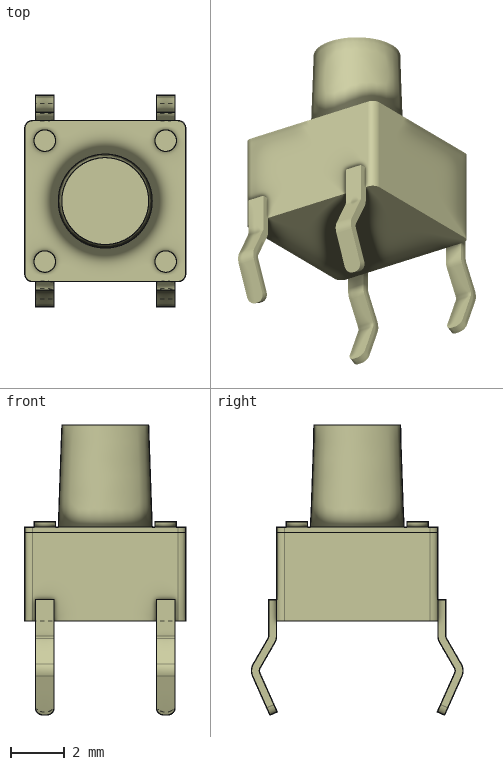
import cadquery as cq
import math

body_side = 6.0
body_height = 3.5
corner_radius = 0.3
cover_thickness = 0.2
base_height = body_height - cover_thickness

stem_base_diameter = 3.5
stem_height = 3.8
stem_draft = 2.0
rivet_diameter = 0.8
rivet_height = 0.2
corner_pitch = 4.5

pin_width = 0.7
pin_thickness = 0.3
pin_top_z = 0.8
pin_bottom_z = -3.5
bend_start_z = -0.55
bend_inside_radius = 0.2
bend_outside_radius = bend_inside_radius + pin_thickness
outward_angle = math.radians(30)
inward_angle = math.radians(24)
pin_span = 7.88
tip_radius = 0.3


def make_plate(bottom_z, height):
    """Square slab with rounded upright corners."""
    return (
        cq.Workplane("XY", origin=(0, 0, bottom_z))
        .rect(body_side, body_side)
        .extrude(height)
        .edges("|Z")
        .fillet(corner_radius)
    )


def make_cover():
    """Cover plate carrying the tapered stem and the four rivet heads."""
    plate = make_plate(base_height, cover_thickness)
    stem = (
        cq.Workplane("XY", origin=(0, 0, body_height))
        .circle(stem_base_diameter / 2)
        .extrude(stem_height, taper=stem_draft)
    )
    rivets = (
        cq.Workplane("XY", origin=(0, 0, body_height))
        .rect(corner_pitch, corner_pitch, forConstruction=True)
        .vertices()
        .circle(rivet_diameter / 2)
        .extrude(rivet_height)
    )
    return plate.union(stem).union(rivets)


def make_pin():
    """Pin on the +Y wall, centred on X = 0: leg, outward bend, knee, inward bend, rounded tip."""
    wall_y = body_side / 2
    leg_outer_y = wall_y + pin_thickness
    knee_y = pin_span / 2

    def arc_point(center, radius, angle):
        """Point on an arc, with the angle measured from +Y towards +Z."""
        return (center[0] + radius * math.cos(angle), center[1] + radius * math.sin(angle))

    upper_center = (leg_outer_y + bend_inside_radius, bend_start_z)
    knee_center_y = knee_y - bend_outside_radius
    bend_radii = bend_inside_radius + bend_outside_radius
    middle_run = knee_center_y - upper_center[0] + bend_radii * math.cos(outward_angle)
    middle_length = middle_run / math.sin(outward_angle)
    middle_drop = middle_length * math.cos(outward_angle)
    knee_center_z = bend_start_z - bend_radii * math.sin(outward_angle) - middle_drop
    knee_center = (knee_center_y, knee_center_z)

    lower_outer_start = arc_point(knee_center, bend_outside_radius, -inward_angle)
    lower_inner_start = arc_point(knee_center, bend_inside_radius, -inward_angle)
    lower_length = (lower_outer_start[1] - pin_bottom_z) / math.cos(inward_angle)
    lower_step = (-lower_length * math.sin(inward_angle), -lower_length * math.cos(inward_angle))
    tip_outer = (lower_outer_start[0] + lower_step[0], lower_outer_start[1] + lower_step[1])
    tip_inner = (lower_inner_start[0] + lower_step[0], lower_inner_start[1] + lower_step[1])

    upper_end = math.pi + outward_angle
    upper_mid = math.pi + outward_angle / 2
    strip = (
        cq.Workplane("YZ", origin=(-pin_width / 2, 0, 0))
        .moveTo(wall_y, pin_top_z)
        .lineTo(leg_outer_y, pin_top_z)
        .lineTo(leg_outer_y, bend_start_z)
        .threePointArc(
            arc_point(upper_center, bend_inside_radius, upper_mid),
            arc_point(upper_center, bend_inside_radius, upper_end),
        )
        .lineTo(*arc_point(knee_center, bend_outside_radius, outward_angle))
        .threePointArc(arc_point(knee_center, bend_outside_radius, 0), lower_outer_start)
        .lineTo(*tip_outer)
        .lineTo(*tip_inner)
        .lineTo(*lower_inner_start)
        .threePointArc(
            arc_point(knee_center, bend_inside_radius, 0),
            arc_point(knee_center, bend_inside_radius, outward_angle),
        )
        .lineTo(*arc_point(upper_center, bend_outside_radius, upper_end))
        .threePointArc(
            arc_point(upper_center, bend_outside_radius, upper_mid),
            (wall_y, bend_start_z),
        )
        .close()
        .extrude(pin_width)
    )
    return strip.faces("<Z").edges("not |X").fillet(tip_radius)



base = make_plate(0, base_height)
cover = make_cover()

pins = []
for pin_x in (-corner_pitch / 2, corner_pitch / 2):
    for turn in (0, 180):
        pin = make_pin().rotate((0, 0, 0), (0, 0, 1), turn).translate((pin_x, 0, 0))
        pins.append(pin.val())

result = cq.Compound.makeCompound([base.val(), cover.val(), *pins])